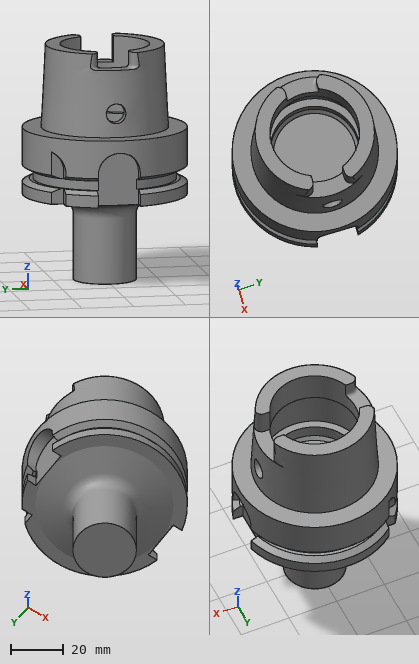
import cadquery as cq
import math

TOTAL_HEIGHT = 90.9
SHANK_TOP = 25.45
FLANGE_BOTTOM = 33.1
LOWER_RIM_TOP = 37.7
GROOVE_BOTTOM = 39.1
GROOVE_TOP = 42.9
UPPER_RIM_BOTTOM = 44.4
FLANGE_TOP = 58.9

FLANGE_RADIUS = 62.9 / 2
SHANK_RADIUS = 24.1 / 2
GROOVE_RADIUS = 27.4
GROOVE_MOUTH_RADIUS = 28.7
TAPER_BASE_RADIUS = 24.3
TAPER_RATIO = 1 / 20
NECK_FILLET = 5.0
NECK_CONE_ANGLE = math.radians(15)

BORE_RADIUS = 34.1 / 2
UNDERCUT_RADIUS = 40.1 / 2
BORE_FLOOR_RADIUS = 15.7
BORE_LIP_BOTTOM = 78.2
UNDERCUT_BOTTOM = 60.9
BORE_FLOOR = 54.5
UNDERCUT_SLOPE = math.radians(30)
FLOOR_CHAMFER = BORE_RADIUS - BORE_FLOOR_RADIUS

CROSS_HOLE_DIAMETER = 7.5
CROSS_HOLE_HEIGHT = 68.0

DRIVE_SLOT_HALF_WIDTH = 6.3
FLARE_RADIUS = 2.7
FLARE_TIP_X = 20.9
FLARE_LEAN = math.radians(27)
RELIEF_LENGTH = 10.9
LEFT_SLOT_FLOOR = 84.6
RIGHT_SLOT_FLOOR = 80.6
LEFT_SLOT_FILLET = 1.4

NOTCH_HALF_WIDTH = 8.1
NOTCH_TOP = 54.1
MAIN_NOTCH_FLOOR = 26.4
OFFSET_NOTCH_FLOOR = 19.9
OFFSET_NOTCH_Y = 27.7

REACH = FLANGE_RADIUS + 0.9


def make_body():
    """Solid of revolution: shank, neck, grooved flange and taper."""
    fillet_center_r = SHANK_RADIUS + NECK_FILLET

    def neck_point(angle):
        return (
            fillet_center_r - NECK_FILLET * math.cos(angle),
            SHANK_TOP + NECK_FILLET * math.sin(angle),
        )

    sweep = math.pi / 2 - NECK_CONE_ANGLE
    neck_end = neck_point(sweep)
    cone_radius = neck_end[0] + (FLANGE_BOTTOM - neck_end[1]) / math.tan(NECK_CONE_ANGLE)
    taper_top_radius = TAPER_BASE_RADIUS - (TOTAL_HEIGHT - FLANGE_TOP) * TAPER_RATIO
    return (
        cq.Workplane("XZ")
        .moveTo(0, 0)
        .lineTo(SHANK_RADIUS, 0)
        .lineTo(SHANK_RADIUS, SHANK_TOP)
        .threePointArc(neck_point(sweep / 2), neck_end)
        .lineTo(cone_radius, FLANGE_BOTTOM)
        .lineTo(FLANGE_RADIUS, FLANGE_BOTTOM)
        .lineTo(FLANGE_RADIUS, LOWER_RIM_TOP)
        .lineTo(GROOVE_MOUTH_RADIUS, GROOVE_BOTTOM)
        .lineTo(GROOVE_RADIUS, GROOVE_BOTTOM)
        .lineTo(GROOVE_RADIUS, GROOVE_TOP)
        .lineTo(GROOVE_MOUTH_RADIUS, GROOVE_TOP)
        .lineTo(FLANGE_RADIUS, UPPER_RIM_BOTTOM)
        .lineTo(FLANGE_RADIUS, FLANGE_TOP)
        .lineTo(TAPER_BASE_RADIUS, FLANGE_TOP)
        .lineTo(taper_top_radius, TOTAL_HEIGHT)
        .lineTo(0, TOTAL_HEIGHT)
        .close()
        .revolve(360, (0, 0, 0), (0, 1, 0))
    )


def make_bore():
    """Bore with a conical-shouldered undercut and a chamfered floor."""
    shoulder_drop = (UNDERCUT_RADIUS - BORE_RADIUS) * math.tan(UNDERCUT_SLOPE)
    return (
        cq.Workplane("XZ")
        .moveTo(0, BORE_FLOOR)
        .lineTo(BORE_FLOOR_RADIUS, BORE_FLOOR)
        .lineTo(BORE_RADIUS, BORE_FLOOR + FLOOR_CHAMFER)
        .lineTo(BORE_RADIUS, UNDERCUT_BOTTOM)
        .lineTo(UNDERCUT_RADIUS, UNDERCUT_BOTTOM)
        .lineTo(UNDERCUT_RADIUS, BORE_LIP_BOTTOM - shoulder_drop)
        .lineTo(BORE_RADIUS, BORE_LIP_BOTTOM)
        .lineTo(BORE_RADIUS, TOTAL_HEIGHT)
        .lineTo(0, TOTAL_HEIGHT)
        .close()
        .revolve(360, (0, 0, 0), (0, 1, 0))
    )


def make_drive_slot(side, floor):
    """Slot cutter that flares outward; side is -1 for -X and +1 for +X."""
    half = DRIVE_SLOT_HALF_WIDTH
    center_x = FLARE_TIP_X - FLARE_RADIUS
    center_y = half + FLARE_RADIUS
    flare_end_x = center_x + FLARE_RADIUS * math.cos(FLARE_LEAN)
    flare_end_y = center_y + FLARE_RADIUS * math.sin(FLARE_LEAN)
    relief_end_x = flare_end_x - RELIEF_LENGTH * math.sin(FLARE_LEAN)
    relief_end_y = flare_end_y + RELIEF_LENGTH * math.cos(FLARE_LEAN)
    return (
        cq.Workplane("XY", origin=(0, 0, floor))
        .moveTo(0, -half)
        .lineTo(side * center_x, -half)
        .threePointArc((side * FLARE_TIP_X, -center_y), (side * flare_end_x, -flare_end_y))
        .lineTo(side * relief_end_x, -relief_end_y)
        .lineTo(side * REACH, -relief_end_y)
        .lineTo(side * REACH, relief_end_y)
        .lineTo(side * relief_end_x, relief_end_y)
        .lineTo(side * flare_end_x, flare_end_y)
        .threePointArc((side * FLARE_TIP_X, center_y), (side * center_x, half))
        .lineTo(0, half)
        .close()
        .extrude(TOTAL_HEIGHT - floor)
    )


def make_notch(center_y, floor):
    """Round-topped cutter from x = floor outward, open at the flange bottom."""
    arch_center = NOTCH_TOP - NOTCH_HALF_WIDTH
    return (
        cq.Workplane("YZ", origin=(floor, 0, 0))
        .moveTo(center_y - NOTCH_HALF_WIDTH, FLANGE_BOTTOM)
        .lineTo(center_y - NOTCH_HALF_WIDTH, arch_center)
        .threePointArc((center_y, NOTCH_TOP), (center_y + NOTCH_HALF_WIDTH, arch_center))
        .lineTo(center_y + NOTCH_HALF_WIDTH, FLANGE_BOTTOM)
        .close()
        .extrude(math.copysign(REACH, floor) - floor)
    )


cross_hole = (
    cq.Workplane("YZ", origin=(-REACH, 0, CROSS_HOLE_HEIGHT))
    .circle(CROSS_HOLE_DIAMETER / 2)
    .extrude(2 * REACH)
)
left_slot = make_drive_slot(-1, LEFT_SLOT_FLOOR).faces("<Z").edges().fillet(LEFT_SLOT_FILLET)

result = make_body().cut(make_bore()).cut(cross_hole)
result = result.cut(left_slot).cut(make_drive_slot(1, RIGHT_SLOT_FLOOR))
for notch_floor in (-MAIN_NOTCH_FLOOR, MAIN_NOTCH_FLOOR):
    result = result.cut(make_notch(0, notch_floor))
result = result.cut(make_notch(OFFSET_NOTCH_Y, -OFFSET_NOTCH_FLOOR))